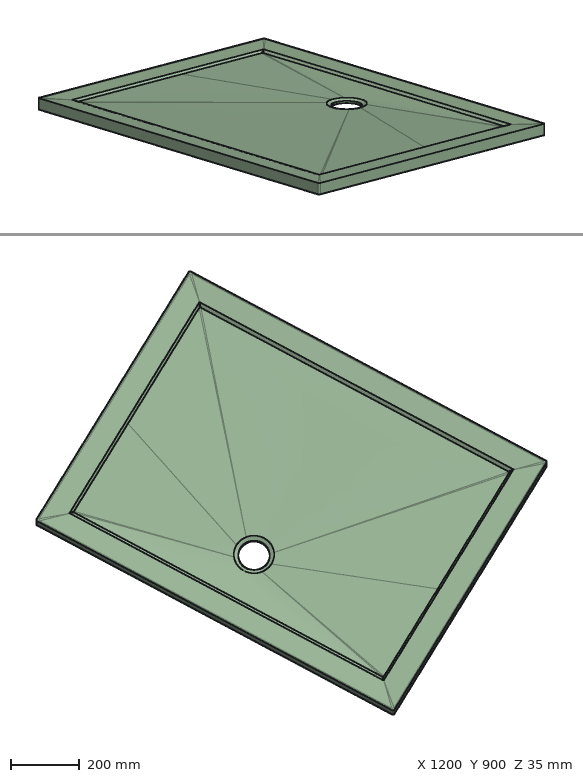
import cadquery as cq
import math

length = 1200.0
width = 900.0
height = 35.0
corner_radius = 5.0

lip_width = 5.0
mouth_corner_cut = 5.0
border_end_x = 73.0
border_end_y = 70.0
border_drop = 4.0

floor_inset = 80.0
floor_edge_z = 24.0
floor_corner_cut = 4.0
fold_y = 50.0

drain_y = 220.0
seat_radius = 59.0
hole_radius = 45.0
seat_z = 13.0
seat_depth = 6.0
corner_fold_angle = math.degrees(math.atan2(width, length))


def rectangle_corners(inset_x, inset_y, z):
    """Corners in the order back right, back left, front left, front right."""
    x = length / 2 - inset_x
    y = width / 2 - inset_y
    return [cq.Vector(sx * x, sy * y, z) for sx, sy in ((1, 1), (-1, 1), (-1, -1), (1, -1))]


def flat_face(points):
    return cq.Face.makeFromWires(cq.Wire.makePolygon(points, close=True))


def seat_point(angle):
    a = math.radians(angle)
    return cq.Vector(seat_radius * math.cos(a), drain_y + seat_radius * math.sin(a), seat_z)


def seat_arc(start, end):
    return cq.Edge.makeThreePointArc(seat_point(start), seat_point((start + end) / 2), seat_point(end))


def cut_corners(inset_x, inset_y, z, cut):
    """Rectangle with bevelled corners: one (start, end) pair of points for each corner."""
    pairs = []
    for i, center in enumerate(rectangle_corners(inset_x + cut, inset_y + cut, z)):
        start, end = [
            center + cq.Vector(math.cos(a), math.sin(a)) * cut
            for a in (math.radians(90 * i), math.radians(90 * i + 90))
        ]
        pairs.append((start, end))
    return pairs


def floor_faces(corners, fold_left, fold_right):
    """Six ruled panels down to the round drain seat, with a narrow facet at each corner."""
    back_right, back_left, front_left, front_right = corners
    a = corner_fold_angle
    panel_edges = [
        (back_right[1], back_left[0], a, 180 - a),
        (back_left[1], fold_left, 180 - a, 180),
        (fold_left, front_left[0], 180, 180 + a),
        (front_left[1], front_right[0], 180 + a, 360 - a),
        (front_right[1], fold_right, 360 - a, 360),
        (fold_right, back_right[0], 0, a),
    ]
    faces = []
    arcs = []
    for start, end, start_angle, end_angle in panel_edges:
        arc = seat_arc(start_angle, end_angle)
        arcs.append(arc)
        faces.append(cq.Face.makeRuledSurface(cq.Edge.makeLine(start, end), arc))
    for (start, end), angle in zip(corners, (a, 180 - a, 180 + a, 360 - a)):
        faces.append(flat_face([start, end, seat_point(angle)]))
    drain_opening = cq.Face.makeFromWires(cq.Wire.assembleEdges(arcs))
    return faces + [drain_opening]


def border_faces(mouth_corners, border_end):
    """Border slopes with narrow corner facets, closed by the mouth of the recess."""
    faces = [flat_face([point for pair in mouth_corners for point in pair])]
    for i, (start, end) in enumerate(mouth_corners):
        j = (i + 1) % len(mouth_corners)
        faces.append(flat_face([start, end, border_end[i]]))
        faces.append(flat_face([end, mouth_corners[j][0], border_end[j], border_end[i]]))
    return faces


def step_faces(border_end, floor_corners, fold_left, fold_right):
    """Steep walls with corner facets; each side wall carries a floor fold point."""
    fold_points = [[], [fold_left], [], [fold_right]]
    faces = []
    for i, (start, end) in enumerate(floor_corners):
        j = (i + 1) % len(floor_corners)
        faces.append(flat_face([border_end[i], start, end]))
        wall = [border_end[j], border_end[i], end] + fold_points[i] + [floor_corners[j][0]]
        faces.append(flat_face(wall))
    return faces


def make_recess():
    mouth_corners = cut_corners(lip_width, lip_width, height, mouth_corner_cut)
    border_end = rectangle_corners(border_end_x, border_end_y, height - border_drop)
    floor_corners = cut_corners(floor_inset, floor_inset, floor_edge_z, floor_corner_cut)
    fold_right = cq.Vector(length / 2 - floor_inset, fold_y, floor_edge_z)
    fold_left = cq.Vector(-fold_right.x, fold_y, floor_edge_z)
    faces = border_faces(mouth_corners, border_end)
    faces += step_faces(border_end, floor_corners, fold_left, fold_right)
    faces += floor_faces(floor_corners, fold_left, fold_right)
    return cq.Solid.makeSolid(cq.Shell.makeShell(faces)).fix()


def make_drain():
    seat_bottom = seat_z - seat_depth
    profile = [(0, 0), (hole_radius, 0), (hole_radius, seat_bottom), (seat_radius, seat_z), (0, seat_z)]
    drain = cq.Workplane("XZ").polyline(profile).close().revolve(360, (0, 0), (0, 1))
    return drain.translate((0, drain_y, 0))


tray = cq.Workplane("XY").box(length, width, height, centered=(True, True, False))
tray = tray.edges("|Z").fillet(corner_radius)
result = tray.cut(cq.Workplane(make_recess())).cut(make_drain())